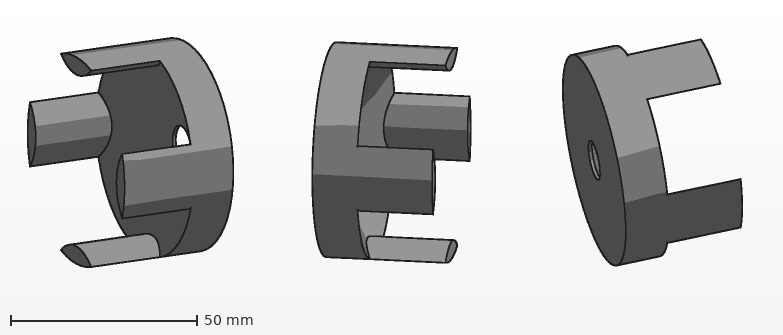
import cadquery as cq
import math

outer_diameter = 57.95
hole_diameter = 10.7
total_height = 32.75
rim_height = 12.15
hole_wall = 1.0
post_width = 18.1
post_thickness = 4.9
post_count = 4
tilt_angle = 26
cut_margin = 3.3

outer_radius = outer_diameter / 2
hole_radius = hole_diameter / 2

half_width = post_width / 2
post_edge_radius = math.sqrt(outer_radius**2 - half_width**2)
post_inner_radius = outer_radius - post_thickness
inner_bulge = post_edge_radius - post_inner_radius
post_radius = (half_width**2 + inner_bulge**2) / (2 * inner_bulge)
post_center_radius = post_inner_radius + post_radius

tilt = math.radians(tilt_angle)
back_plane = cq.Plane(
    origin=(0, 0, 0),
    xDir=(math.cos(tilt), -math.sin(tilt), 0),
    normal=(-math.sin(tilt), -math.cos(tilt), 0),
)


def make_cavity():
    """Revolve the conical space inside the cup and the open space above its rim."""
    cone_slope = (rim_height - hole_wall) / (outer_radius - hole_radius)
    cutter_radius = outer_radius + cut_margin
    cutter_top = total_height + cut_margin
    return (
        cq.Workplane("XZ")
        .moveTo(0, hole_wall)
        .lineTo(hole_radius, hole_wall)
        .lineTo(cutter_radius, rim_height + cone_slope * cut_margin)
        .lineTo(cutter_radius, cutter_top)
        .lineTo(0, cutter_top)
        .close()
        .revolve(360, (0, 0, 0), (0, 1, 0))
    )


def make_post_cylinders():
    """Cylinders around the axis that keep the posts out of the cavity cut."""
    return (
        cq.Workplane("XY")
        .polarArray(post_center_radius, 0, 360, post_count)
        .circle(post_radius)
        .extrude(total_height + 2 * cut_margin)
    )


blank = cq.Workplane("XY").circle(outer_radius).extrude(total_height)
center_hole = cq.Workplane("XY").circle(hole_radius).extrude(total_height)
cutter = make_cavity().cut(make_post_cylinders())
body = blank.cut(cutter).cut(center_hole)

result = cq.Workplane(body.val().moved(cq.Location(back_plane)))